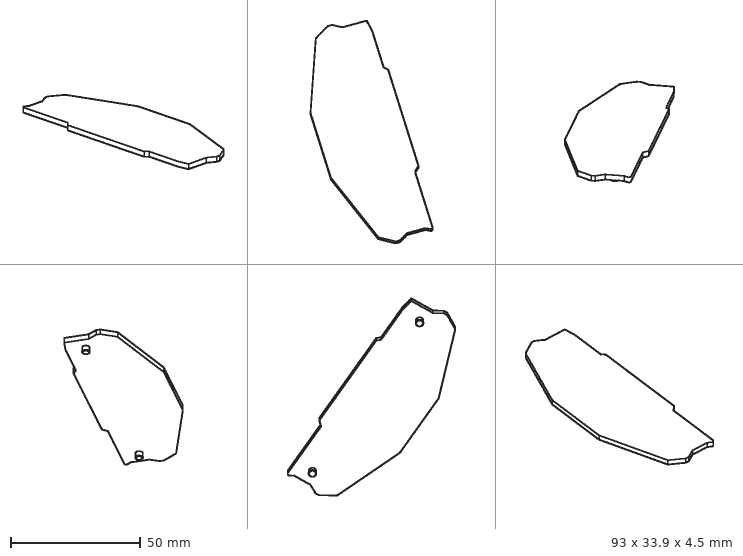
import cadquery as cq
import math

plate_width = 93.0
plate_height = 33.9
plate_thickness = 2.2

top_edge_half = 14.1
shoulder_x = 42.9
shoulder_y = 23.3
tip_top_y = 17.3
tip_bottom_y = 15.7
waist_x = 44.4
waist_y = 12.1

foot_flare_y = 4.7
foot_flare_angle = 60.0
foot_edge_y = 1.95
foot_radius = 0.8

tongue_left_x = -18.9
tongue_left_run = 1.75
tongue_right_x = 22.5
tongue_right_run = 1.35

right_edge_y = 1.4
right_rise_x = 39.35
right_corner_y = 2.25

pin_length = 2.3
pin_root_diameter = 2.85
pin_end_diameter = 3.05
pin_chamfer = 0.25
pin_x = 38.85
pin_y = 9.5


def make_plate():
    """Flat plate with its full outline; the foot corner is rounded afterwards."""
    tip_x = plate_width / 2
    foot_drop = foot_flare_y - foot_edge_y
    foot_x = -waist_x - foot_drop / math.tan(math.radians(foot_flare_angle))
    outline = [
        (-top_edge_half, plate_height),
        (top_edge_half, plate_height),
        (shoulder_x, shoulder_y),
        (tip_x, tip_top_y),
        (tip_x, tip_bottom_y),
        (waist_x, waist_y),
        (waist_x, right_corner_y),
        (right_rise_x, right_edge_y),
        (tongue_right_x + tongue_right_run, right_edge_y),
        (tongue_right_x, 0),
        (tongue_left_x, 0),
        (tongue_left_x - tongue_left_run, foot_edge_y),
        (foot_x, foot_edge_y),
        (-waist_x, foot_flare_y),
        (-waist_x, waist_y),
        (-tip_x, tip_bottom_y),
        (-tip_x, tip_top_y),
        (-shoulder_x, shoulder_y),
    ]
    plate = cq.Workplane("XY").polyline(outline).close().extrude(plate_thickness)
    foot_corner = cq.selectors.NearestToPointSelector((foot_x, foot_edge_y, plate_thickness / 2))
    return plate.edges("|Z").edges(foot_corner).fillet(foot_radius)


def make_pin(x):
    """Pin hanging from the underside, turned about its own vertical axis."""
    root_radius = pin_root_diameter / 2
    end_radius = pin_end_diameter / 2
    profile = [
        (0, 0),
        (-root_radius, 0),
        (-end_radius, pin_chamfer - pin_length),
        (pin_chamfer - end_radius, -pin_length),
        (0, -pin_length),
    ]
    pin = cq.Workplane("YZ").polyline(profile).close().revolve(360, (0, 0), (0, 1))
    return pin.translate((x, pin_y, 0))


result = make_plate()
for side in (-1, 1):
    result = result.union(make_pin(side * pin_x))